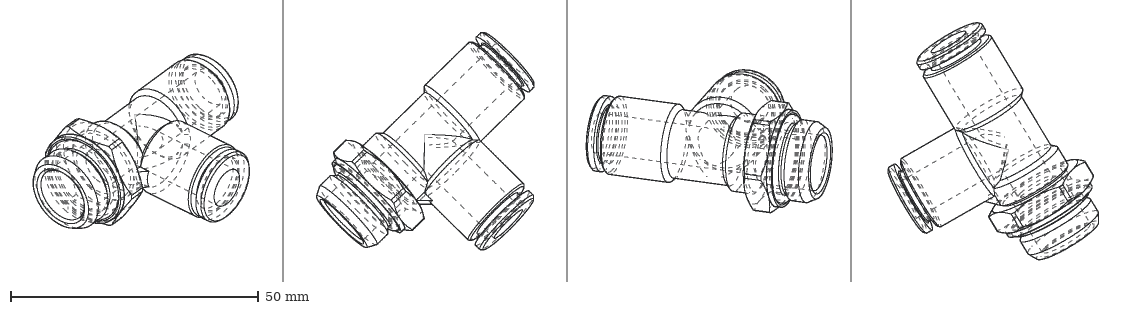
import cadquery as cq
import math


overall_length = 47.65

arm_reach = 24.1
socket_radius = 8.0
waist_radius = 7.0
flare = socket_radius - waist_radius
flare_start = 6.9
socket_end = 20.95
socket_chamfer = 0.4
collar_neck_radius = 5.8
collar_radius = 7.7
collar_thickness = 1.75
collar_root_chamfer = 0.25
collar_chamfer = 0.5
tube_bore_radius = 4.05

shoulder_start = 5.0
shoulder_chamfer = 0.45

web_leg = 17.85
web_thickness = 4.0

hex_start = 10.5
hex_length = 4.95
hex_across_flats = 20.0
hex_corner_radius = 11.3
hex_chamfer_angle = 30
flange_length = 1.05
flange_radius = 9.9
hex_end = hex_start + hex_length
flange_end = hex_end + flange_length

stud_end = overall_length - arm_reach
stud_radius = 8.3
stud_neck_radius = 7.35
stud_lead_in = 1.0
stud_end_chamfer = 1.85
stud_cylinder_start = 18.65
stud_tip_radius = 7.3
stud_bore_radius = 5.65
stud_bore_depth = 11.9
stud_mouth_chamfer = 0.55
bore_cone_angle = 59

ring_section_radius = 0.85
ring_center_radius = stud_neck_radius + ring_section_radius
recess_mouth_radius = ring_center_radius + ring_section_radius * math.sqrt(2)
recess_floor_radius = recess_mouth_radius - ring_section_radius


def turned(points):
    """Solid of revolution about Y from (radius, y) points, closed along the axis."""
    outline = [(0, points[0][1])] + points + [(0, points[-1][1])]
    return cq.Workplane("XY").polyline(outline).close().revolve(360, (0, 0, 0), (0, 1, 0))


def tube_arm():
    """Waist, flared socket and release collar, from the crossing point along +Y."""
    collar_start = arm_reach - collar_thickness
    return turned([
        (waist_radius, 0),
        (waist_radius, flare_start),
        (socket_radius, flare_start + flare),
        (socket_radius, socket_end - socket_chamfer),
        (socket_radius - socket_chamfer, socket_end),
        (collar_neck_radius, socket_end),
        (collar_neck_radius, collar_start - collar_root_chamfer),
        (collar_neck_radius + collar_root_chamfer, collar_start),
        (collar_radius, collar_start),
        (collar_radius, arm_reach - collar_chamfer),
        (collar_radius - collar_chamfer, arm_reach),
    ])


def toward_branch(solid):
    """Turn a solid lying along +Y so that it lies along +X."""
    return solid.rotate((0, 0, 0), (0, 0, 1), -90)


def shoulder():
    """Waist and shoulder from the crossing point down to the hexagon."""
    return turned([
        (waist_radius, 0),
        (waist_radius, -shoulder_start),
        (socket_radius, -shoulder_start - flare),
        (socket_radius, -hex_start + shoulder_chamfer),
        (socket_radius - shoulder_chamfer, -hex_start),
    ])


def web():
    """Triangular web, sunk into the shoulder and the branch."""
    lowest = hex_start - shoulder_chamfer
    return (
        cq.Workplane("XY")
        .moveTo(0, 0)
        .lineTo(0, -lowest)
        .lineTo(web_leg - lowest, -lowest)
        .lineTo(web_leg, 0)
        .close()
        .extrude(web_thickness / 2, both=True)
    )


def hexagon():
    """Hexagon with corners on the X axis, rounded at the corners and chamfered at both ends."""
    across_corners = hex_across_flats / math.cos(math.radians(30))
    prism = (
        cq.Workplane("XZ", origin=(0, -hex_start, 0))
        .polygon(6, across_corners)
        .extrude(hex_length)
    )
    end_radius = hex_across_flats / 2
    chamfer_length = (hex_corner_radius - end_radius) * math.tan(math.radians(hex_chamfer_angle))
    envelope = turned([
        (end_radius, -hex_start),
        (hex_corner_radius, -hex_start - chamfer_length),
        (hex_corner_radius, -hex_end + chamfer_length),
        (end_radius, -hex_end),
    ])
    return prism.intersect(envelope)


def stud():
    """Sealing flange with its conical O-ring recess, then the neck and the stud."""
    recess_floor = flange_end - ring_section_radius
    return turned([
        (flange_radius, -hex_end),
        (flange_radius, -flange_end),
        (recess_mouth_radius, -flange_end),
        (recess_floor_radius, -recess_floor),
        (stud_neck_radius, -recess_floor),
        (stud_neck_radius, -stud_cylinder_start + stud_lead_in),
        (stud_radius, -stud_cylinder_start),
        (stud_radius, -stud_end + stud_end_chamfer),
        (stud_tip_radius, -stud_end),
    ])


def main_bore():
    """Bore through the whole main axis, widened in the stud."""
    cone_length = (stud_bore_radius - tube_bore_radius) / math.tan(math.radians(bore_cone_angle))
    cone_start = -stud_end + stud_bore_depth
    return turned([
        (stud_bore_radius + stud_mouth_chamfer, -stud_end),
        (stud_bore_radius, -stud_end + stud_mouth_chamfer),
        (stud_bore_radius, cone_start),
        (tube_bore_radius, cone_start + cone_length),
        (tube_bore_radius, arm_reach),
    ])


def branch_bore():
    """Bore of the branch, meeting the main bore."""
    return cq.Workplane("YZ").circle(tube_bore_radius).extrude(arm_reach)


def make_fitting():
    solid = tube_arm().union(toward_branch(tube_arm()))
    for piece in (shoulder(), web(), hexagon(), stud()):
        solid = solid.union(piece)
    return solid.cut(main_bore()).cut(branch_bore())


def make_o_ring():
    return (
        cq.Workplane("XY")
        .center(ring_center_radius, -flange_end)
        .circle(ring_section_radius)
        .revolve(360, (-ring_center_radius, 0, 0), (-ring_center_radius, 1, 0))
    )


fitting = make_fitting()
o_ring = make_o_ring()
result = cq.Compound.makeCompound([fitting.solids().val(), o_ring.val()])